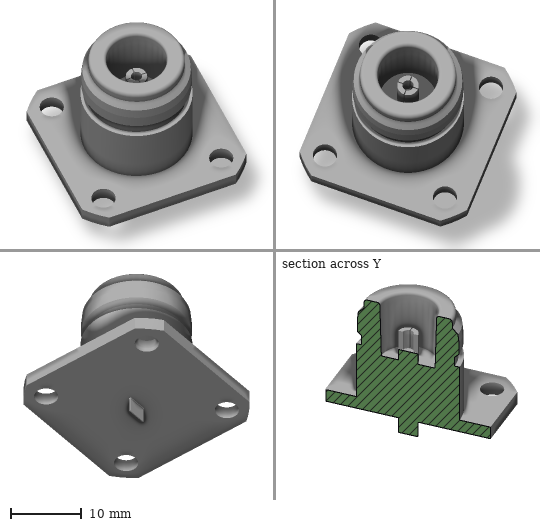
import cadquery as cq
import math

flange_side = 25.4
flange_thickness = 2.03
flat_edge_length = 19.55
corner_radius = math.hypot(flange_side / 2, flat_edge_length / 2)
hole_spacing = 18.2
hole_diameter = 3.43

barrel_radius = 7.95
barrel_top = 10.97
groove_radius = 7.2
groove_top = 12.42
thread_radius = 7.85
thread_bottom = 13.08
thread_top = 14.94
taper_radius = 7.7
taper_top = 16.38
nose_radius = 6.8
nose_bottom = 17.25
nose_top = 18.75
nose_fillet = 0.55

mouth_radius = 4.32
mouth_fillet = 0.48
floor_radius = 4.1
socket_depth = 8.9

contact_radius = 1.52
contact_height = 4.8
contact_bore_radius = 0.8
slot_width = 0.15
slot_depth = 3.05

tab_width = 3.0
tab_thickness = 0.15
tab_length = 2.46
root_thickness = 0.38
root_height = 0.18


def make_flange():
    plate = cq.Workplane("XY").rect(flange_side, flange_side).extrude(flange_thickness)
    trim = cq.Workplane("XY").circle(corner_radius).extrude(flange_thickness)
    return (
        plate.intersect(trim)
        .faces(">Z").workplane(origin=(0, 0, 0))
        .rect(hole_spacing, hole_spacing, forConstruction=True).vertices()
        .hole(hole_diameter)
    )


def make_body():
    """Turned barrel, thread relief and nose, before boring."""
    outline = [
        (0, 0),
        (barrel_radius, 0),
        (barrel_radius, barrel_top),
        (groove_radius, barrel_top),
        (groove_radius, groove_top),
        (thread_radius, thread_bottom),
        (thread_radius, thread_top),
        (taper_radius, taper_top),
        (nose_radius, nose_bottom),
        (nose_radius, nose_top),
        (0, nose_top),
    ]
    body = cq.Workplane("XZ").polyline(outline).close().revolve(360, (0, 0, 0), (0, 1, 0))
    return body.faces(">Z").edges().fillet(nose_fillet)


def make_socket():
    """Turned cavity: rounded mouth, then a slight taper to the floor."""
    mouth_bottom = nose_top - mouth_fillet
    mouth_edge = mouth_radius + mouth_fillet
    arc_inset = mouth_fillet * math.sqrt(0.5)
    floor = nose_top - socket_depth
    return (
        cq.Workplane("XZ")
        .moveTo(0, floor)
        .lineTo(floor_radius, floor)
        .lineTo(mouth_radius, mouth_bottom)
        .threePointArc((mouth_edge - arc_inset, mouth_bottom + arc_inset), (mouth_edge, nose_top))
        .lineTo(0, nose_top)
        .close()
        .revolve(360, (0, 0, 0), (0, 1, 0))
    )


def make_contact():
    floor = nose_top - socket_depth
    tip = cq.Workplane("XY").workplane(offset=floor + contact_height)
    contact = tip.circle(contact_radius).extrude(-contact_height)
    contact = contact.cut(tip.circle(contact_bore_radius).extrude(-slot_depth))
    for angle in (0, 90):
        slot = tip.rect(2 * contact_radius, slot_width).extrude(-slot_depth)
        contact = contact.cut(slot.rotate((0, 0, 0), (0, 0, 1), angle))
    return contact


def make_tab():
    underside = cq.Workplane("XY")
    blade = underside.rect(tab_width, tab_thickness).extrude(-tab_length)
    root = underside.rect(tab_width, root_thickness).extrude(-root_height)
    return blade.union(root)


connector = make_body().cut(make_socket())
result = make_flange().union(connector).union(make_contact()).union(make_tab())